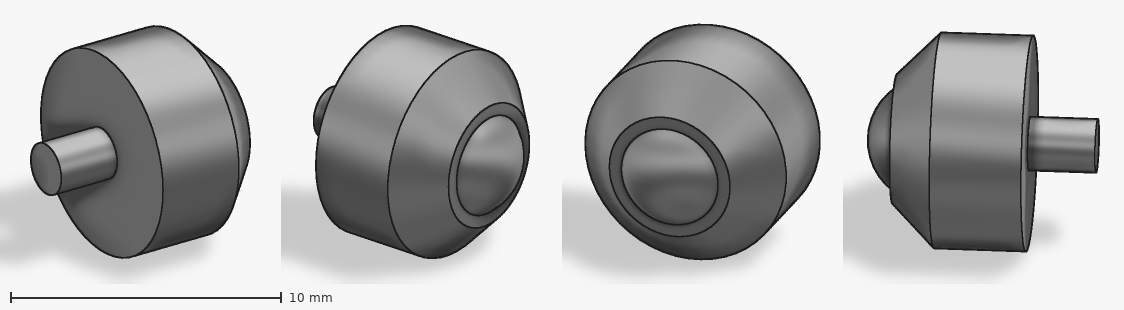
import cadquery as cq
import math

body_diameter = 8.0
pin_diameter = 2.0
pin_length = 2.5
body_length = 5.0
cone_length = 1.6
ball_diameter = 4.7
ball_protrusion = 1.0

body_radius = body_diameter / 2
pin_radius = pin_diameter / 2
ball_radius = ball_diameter / 2
nose_radius = body_radius - cone_length
ball_tip_y = body_length + ball_protrusion

ball_centre_y = ball_tip_y - ball_radius
ball_rim_angle = math.asin((body_length - ball_centre_y) / ball_radius)
ball_rim_radius = ball_radius * math.cos(ball_rim_angle)
arc_mid_angle = (ball_rim_angle + math.pi / 2) / 2
arc_mid_point = (
    ball_radius * math.cos(arc_mid_angle),
    ball_centre_y + ball_radius * math.sin(arc_mid_angle),
)

half_profile = (
    cq.Workplane("XY")
    .moveTo(0, -pin_length)
    .lineTo(pin_radius, -pin_length)
    .lineTo(pin_radius, 0)
    .lineTo(body_radius, 0)
    .lineTo(body_radius, body_length - cone_length)
    .lineTo(nose_radius, body_length)
    .lineTo(ball_rim_radius, body_length)
    .threePointArc(arc_mid_point, (0, ball_tip_y))
    .close()
)

result = half_profile.revolve(360, (0, 0, 0), (0, 1, 0))